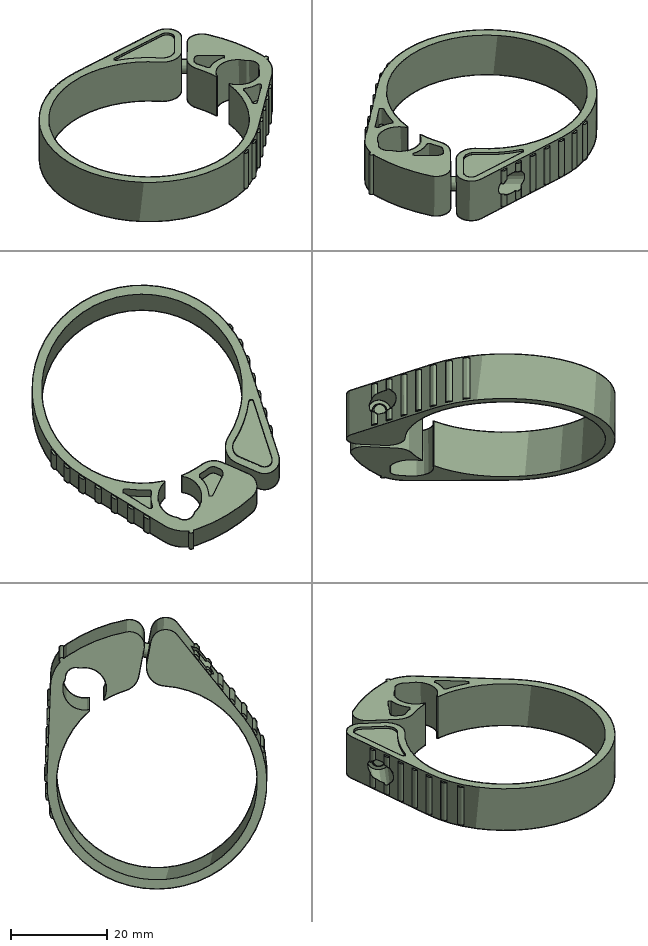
import cadquery as cq
import math

HEIGHT = 10.0
BORE_RADIUS = 20.8
RING_RADIUS = 22.8
CROWN_RADIUS = 33.0
TANGENT_ANGLE = 20
MID_Z = HEIGHT / 2
REACH = 2 * CROWN_RADIUS

AXIS_ANGLE = 28.3
LOBE_FACE = 6.7
BLOCK_FACE = 7.8
AXIS_OFFSET = 26.3
PIN_DIAMETER = 3.0
PIN_LENGTH = 15.95
PIN_CHAMFER = 0.3
PIN_STANDOUT = 0.65
CLEARANCE_DIAMETER = 3.1
COUNTERBORE_DIAMETER = 4.9
LOBE_WEB = 6.5
COUNTERBORE_FLOOR = LOBE_FACE - LOBE_WEB
COUNTERBORE_LENGTH = 8.95

TIP_DIAMETER = 6.2
TIP_RADIUS = TIP_DIAMETER / 2
HEEL_RADIUS = 4.0
SHOULDER_RADIUS = 8.0
POCKET_RADIUS = 0.5

WALL = 1.5
LOBE_POCKET_DEPTH = 0.5
BLOCK_POCKET_DEPTH = 4.0
PIN_TO_POCKET = 3.1
POCKET_TOP = AXIS_OFFSET - PIN_TO_POCKET
POCKET_END = 15.6
POCKET_HEEL_RADIUS = 1.5
POCKET_SHOULDER_RADIUS = 1.1

SOCKET_X = 8.1
SOCKET_Y = 23.75
SOCKET_CENTER = (SOCKET_X, SOCKET_Y)
SOCKET_RADIUS = 4.5
BULGE_RADIUS = 2.1
BULGE_SHIFT = 3.05
BULGE_ANGLE = 71
BULGE_BLEND_RADIUS = 1.0
MOUTH_LEFT = 5.0
MOUTH_RIGHT = 8.55

RIB_WIDTH = 1.5
RIB_PROTRUSION = 0.475
RIB_ROOT = 0.55
RIB_ROUND = 0.45
RIB_END_MARGIN = 0.5
RIB_HEIGHT = HEIGHT - 2 * RIB_END_MARGIN
ARC_RIB_STEP = 10
FLANK_RIB_PITCH = 4.0
FLANK_RIB_COUNT = 4
CROWN_RIB_ANGLE = 71
CROWN_RIB_WIDTH = 1.0


def polar(radius, angle):
    """Point at a radius and an angle in degrees about the ring centre."""
    return (radius * math.cos(math.radians(angle)), radius * math.sin(math.radians(angle)))


def shift(point, distance, angle):
    """Point moved by a distance in a direction given in degrees."""
    step = polar(distance, angle)
    return (point[0] + step[0], point[1] + step[1])


def on_line(distance, normal_angle, along):
    """Point on a line given by its distance from the ring centre and its normal direction."""
    return shift(polar(distance, normal_angle), along, normal_angle + 90)


def line_meets_circle(distance, normal_angle, radius, side=1):
    """Crossing of such a line with a circle about the ring centre."""
    return on_line(distance, normal_angle, side * math.sqrt(radius**2 - distance**2))


def line_meets_line(distance_a, angle_a, distance_b, angle_b):
    """Crossing of two lines, each given by distance and normal direction."""
    turn = math.radians(angle_b - angle_a)
    return on_line(distance_a, angle_a, (distance_b - distance_a * math.cos(turn)) / math.sin(turn))


def prism(points):
    """Full-height block over a polygon."""
    return cq.Workplane("XY").polyline(points).close().extrude(HEIGHT)


def disc(radius, center=(0, 0)):
    """Full-height cylinder."""
    return cq.Workplane("XY").center(*center).circle(radius).extrude(HEIGHT)


def round_corner(body, point, radius):
    """Fillet the upright edge that stands at a point."""
    upright = body.edges("|Z").edges(cq.selectors.NearestToPointSelector((*point, MID_Z)))
    return upright.fillet(radius)


def piece_at(bodies, point):
    """The separate piece whose centre is nearest to a point."""
    return cq.Workplane(bodies.solids(cq.selectors.NearestToPointSelector((*point, MID_Z))).val())


def pin_cylinder(diameter, start, length):
    """Cylinder on the pin axis; start is measured along the axis from the point nearest the ring centre."""
    x, y = on_line(start, AXIS_ANGLE, AXIS_OFFSET)
    plane = cq.Plane(origin=(x, y, MID_Z), xDir=(0, 0, 1), normal=(*polar(1, AXIS_ANGLE), 0))
    return cq.Workplane(plane).circle(diameter / 2).extrude(length)


def make_lobe(inset):
    """Left clamping lobe, or the same shape with all its faces moved inwards."""
    flank = RING_RADIUS - inset
    face = LOBE_FACE - inset
    bore = BORE_RADIUS + inset
    flank_angle = 180 - TANGENT_ANGLE
    apex = line_meets_line(flank, flank_angle, face, AXIS_ANGLE)
    heel = line_meets_circle(face, AXIS_ANGLE, bore)
    lobe = prism([(0, 0), polar(flank, flank_angle), apex, polar(face, AXIS_ANGLE)]).cut(disc(bore))
    lobe = round_corner(lobe, apex, TIP_RADIUS - inset)
    return round_corner(lobe, heel, HEEL_RADIUS - inset)


def make_lobe_pocket():
    """Shallow pocket that follows the lobe outline one wall thickness inside it."""
    root = line_meets_circle(RING_RADIUS - WALL, 180 - TANGENT_ANGLE, BORE_RADIUS + WALL, -1)
    return round_corner(make_lobe(WALL), root, POCKET_RADIUS)


def make_block():
    """Right clamping block under the crown arc."""
    corner = line_meets_circle(RING_RADIUS, TANGENT_ANGLE, CROWN_RADIUS)
    block = prism([
        (0, 0),
        polar(RING_RADIUS, TANGENT_ANGLE),
        on_line(RING_RADIUS, TANGENT_ANGLE, REACH),
        on_line(BLOCK_FACE, AXIS_ANGLE, REACH),
        polar(BLOCK_FACE, AXIS_ANGLE),
    ]).intersect(disc(CROWN_RADIUS)).cut(disc(BORE_RADIUS))
    block = round_corner(block, corner, SHOULDER_RADIUS)
    block = round_corner(block, line_meets_circle(BLOCK_FACE, AXIS_ANGLE, CROWN_RADIUS), TIP_RADIUS)
    return round_corner(block, line_meets_circle(BLOCK_FACE, AXIS_ANGLE, BORE_RADIUS), HEEL_RADIUS)



def make_block_pocket():
    """Pocket below the pin hole, bounded by the gap face, the bore and the socket."""
    face = BLOCK_FACE + WALL
    bore = BORE_RADIUS + WALL
    top_angle = AXIS_ANGLE + 90
    top_left = line_meets_line(face, AXIS_ANGLE, POCKET_TOP, top_angle)
    top_right = line_meets_line(POCKET_END, AXIS_ANGLE, POCKET_TOP, top_angle)
    pocket = prism([polar(face, AXIS_ANGLE), top_left, top_right, polar(POCKET_END, AXIS_ANGLE)])
    pocket = pocket.cut(disc(bore)).cut(disc(SOCKET_RADIUS + WALL, center=SOCKET_CENTER))
    pocket = piece_at(pocket, top_left)
    pocket = round_corner(pocket, line_meets_circle(face, AXIS_ANGLE, bore), POCKET_HEEL_RADIUS)
    pocket = round_corner(pocket, top_left, POCKET_SHOULDER_RADIUS)
    pocket = round_corner(pocket, top_right, POCKET_RADIUS)
    return pocket.edges("|Z and >(1,-1,0)").fillet(POCKET_RADIUS)


def make_flank_pocket():
    """Three-cornered pocket between the socket, the bore and the right flank."""
    flank = RING_RADIUS - WALL
    root = line_meets_circle(flank, TANGENT_ANGLE, BORE_RADIUS + WALL)
    pocket = prism([
        (SOCKET_X, 0),
        polar(flank, TANGENT_ANGLE),
        on_line(flank, TANGENT_ANGLE, SOCKET_Y),
        SOCKET_CENTER,
    ]).cut(disc(BORE_RADIUS + WALL)).cut(disc(SOCKET_RADIUS + WALL, center=SOCKET_CENTER))
    pocket = piece_at(pocket, root)
    return pocket.edges("|Z").fillet(POCKET_RADIUS)


def make_socket():
    """Round socket with a bulge towards the shoulder and a mouth into the bore."""
    bulge = shift(SOCKET_CENTER, BULGE_SHIFT, BULGE_ANGLE)
    socket = disc(SOCKET_RADIUS, center=SOCKET_CENTER).union(disc(BULGE_RADIUS, center=bulge))
    spread = math.degrees(math.acos(
        (SOCKET_RADIUS**2 + BULGE_SHIFT**2 - BULGE_RADIUS**2) / (2 * SOCKET_RADIUS * BULGE_SHIFT)
    ))
    for angle in (BULGE_ANGLE - spread, BULGE_ANGLE + spread):
        socket = round_corner(socket, shift(SOCKET_CENTER, SOCKET_RADIUS, angle), BULGE_BLEND_RADIUS)
    mouth = prism([(MOUTH_LEFT, 0), (MOUTH_RIGHT, 0), (MOUTH_RIGHT, SOCKET_Y), (MOUTH_LEFT, SOCKET_Y)])
    return socket.union(mouth)


def make_rib(point, angle, width, height):
    """Upright grip rib with rounded outer edges, facing outwards at an angle."""
    rib = cq.Workplane("XY").box(RIB_ROOT + RIB_PROTRUSION, width, height)
    rib = rib.edges("|Z and >X").fillet(RIB_ROUND)
    rib = rib.translate(((RIB_PROTRUSION - RIB_ROOT) / 2, 0, MID_Z))
    return rib.rotate((0, 0, 0), (0, 0, 1), angle).translate((*point, 0))


def make_side_ribs():
    """Ribs up the right side of the ring and along its flank."""
    ribs = []
    for angle in range(0, TANGENT_ANGLE + 1, ARC_RIB_STEP):
        ribs.append(make_rib(polar(RING_RADIUS, angle), angle, RIB_WIDTH, RIB_HEIGHT))
    for number in range(1, FLANK_RIB_COUNT + 1):
        point = on_line(RING_RADIUS, TANGENT_ANGLE, number * FLANK_RIB_PITCH)
        ribs.append(make_rib(point, TANGENT_ANGLE, RIB_WIDTH, RIB_HEIGHT))
    return ribs


def make_clamp():
    """The whole band: ring, lobe, block, ribs, socket, pockets and pin holes."""
    ring = disc(RING_RADIUS).cut(disc(BORE_RADIUS))
    lower_ring = ring.cut(prism([
        (0, 0),
        polar(REACH, TANGENT_ANGLE),
        (0, REACH),
        polar(REACH, 180 - TANGENT_ANGLE),
    ]))
    clamp = lower_ring.union(make_lobe(0)).union(make_block())

    for rib in make_side_ribs():
        clamp = clamp.union(rib).union(rib.mirror("YZ"))
    crown_point = polar(CROWN_RADIUS, CROWN_RIB_ANGLE)
    clamp = clamp.union(make_rib(crown_point, CROWN_RIB_ANGLE, CROWN_RIB_WIDTH, HEIGHT))

    clamp = clamp.cut(make_socket())
    clamp = clamp.cut(make_lobe_pocket().translate((0, 0, HEIGHT - LOBE_POCKET_DEPTH)))
    for pocket in (make_block_pocket(), make_flank_pocket()):
        clamp = clamp.cut(pocket.translate((0, 0, HEIGHT - BLOCK_POCKET_DEPTH)))

    counterbore_mouth = COUNTERBORE_FLOOR - COUNTERBORE_LENGTH
    clamp = clamp.cut(pin_cylinder(COUNTERBORE_DIAMETER, counterbore_mouth, COUNTERBORE_LENGTH))
    clamp = clamp.cut(pin_cylinder(CLEARANCE_DIAMETER, COUNTERBORE_FLOOR, LOBE_WEB))
    return clamp.cut(make_pin())


def make_pin():
    """Straight pin, chamfered at the end that stands in the counterbore."""
    pin = pin_cylinder(PIN_DIAMETER, COUNTERBORE_FLOOR - PIN_STANDOUT, PIN_LENGTH)
    return pin.faces("<X").chamfer(PIN_CHAMFER)


clamp = make_clamp()
pin = make_pin()

result = cq.Compound.makeCompound([clamp.val(), pin.val()])